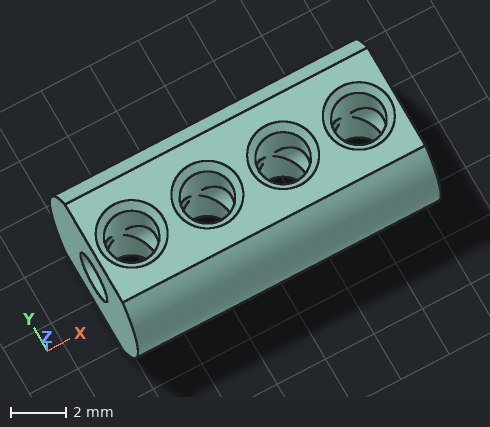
import cadquery as cq

length = 12.5
body_diameter = 6.6
height_across_flats = 5.0
hole_diameter = 2.0
countersink_diameter = 2.6
countersink_angle = 90.0
hole_count = 4

hole_pitch = length / hole_count


def make_body():
    """Round bar along X with flats on its top and bottom."""
    bar = cq.Workplane("YZ").circle(body_diameter / 2).extrude(length / 2, both=True)
    flats = cq.Workplane("XY").box(length, body_diameter, height_across_flats)
    return bar.intersect(flats)


def cut_axial_bore(body):
    """Bore running the full length of the bar."""
    bore = cq.Workplane("YZ").circle(hole_diameter / 2).extrude(length / 2, both=True)
    return body.cut(bore)


def cut_cross_holes(body):
    """Row of through holes, countersunk in the top flat."""
    return (
        body.copyWorkplane(cq.Workplane("XY", origin=(0, 0, height_across_flats / 2)))
        .rarray(hole_pitch, 0.12, hole_count, 1)
        .cskHole(hole_diameter, countersink_diameter, countersink_angle)
    )


result = cut_cross_holes(cut_axial_bore(make_body()))